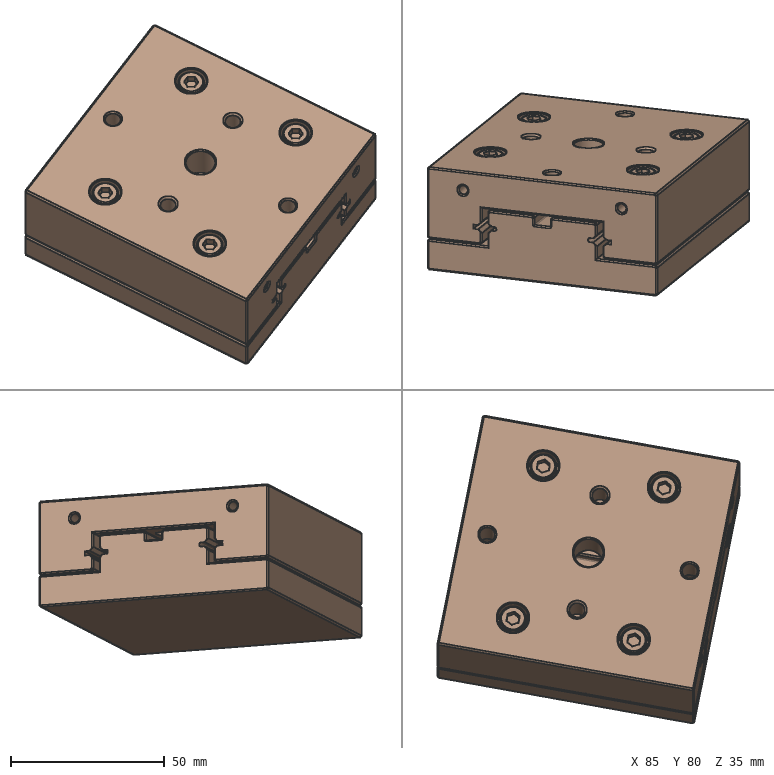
import cadquery as cq
import math

length = 85.0
width = 80.0
height = 35.0
end_chamfer = 0.5
long_chamfer = 0.6

carriage_height = 24.3
channel_width = 42.0
channel_roof_depth = 12.0
carriage_bottom = height - carriage_height
channel_roof = height - channel_roof_depth

running_gap = 0.5
parting_gap = 0.3
rail_width = 38.0
base_top = carriage_bottom - parting_gap
rail_top = channel_roof - running_gap
rail_slot_width = 5.5
rail_slot_depth = 3.1
rail_slot_fillet = 0.3

groove_height = height - 18.45
groove_mouth = 3.9
relief_width = 1.45
carriage_relief_depth = 3.0
rail_relief_depth = 3.1
groove_depth = (groove_mouth - relief_width) / 2

center_bore_diameter = 9.5
center_bore_chamfer = 0.4
plate_hole_diameter = 5.0
gap_hole_y = 20.0
gap_hole_chamfer = 0.7
end_hole_x = 33.5
end_hole_chamfer = 0.5

screw_x = 20.0
screw_y = 26.5
counterbore_diameter = 10.0
counterbore_chamfer = 0.3
counterbore_depth = 5.5
head_diameter = 8.5
head_chamfer = 0.4
head_recess = 0.5
hex_across_flats = 4.0
hex_depth = 2.5

side_hole_diameter = 3.0
side_hole_chamfer = 0.5
side_hole_depth = 8.0
side_hole_y = 27.5
side_hole_z = height - 6.5
drill_point_angle = 118.0


def x_prism(points):
    """Solid of the full length with the given closed YZ outline."""
    return cq.Workplane("YZ").polyline(points).close().extrude(length / 2, both=True)


def mirrored(half_outline):
    """Complete a symmetric YZ outline from its +Y half."""
    return half_outline + [(-y, z) for y, z in reversed(half_outline)]


def break_edges(body, long_edges):
    """Chamfer the chosen lengthwise edges, then the rims of both end faces."""
    return body.edges(long_edges).chamfer(long_chamfer).faces("<X or >X").chamfer(end_chamfer)


def top_hole_cutter(x, y, diameter, depth, chamfer):
    """Cutter for a hole from the top face, with a chamfered rim."""
    radius = diameter / 2
    bore = cq.Workplane("XY", origin=(x, y, height - depth)).circle(radius).extrude(depth)
    rim_base = cq.Vector(x, y, height - chamfer)
    rim = cq.Solid.makeCone(radius, radius + chamfer, chamfer, pnt=rim_base)
    return bore.union(cq.Workplane(rim))


def groove_cutter(wall_y, direction, relief_depth, round_end):
    """Full-length cutter for a roller groove in the wall at wall_y, going in along Y (+1 or -1)."""
    overlap = end_chamfer
    mouth_half = groove_mouth / 2 + overlap
    relief_half = relief_width / 2
    relief_end = relief_depth - relief_half if round_end else relief_depth

    def at(depth, rise):
        return (wall_y + direction * depth, groove_height + rise)

    outline = (
        cq.Workplane("YZ")
        .moveTo(*at(-overlap, mouth_half))
        .lineTo(*at(groove_depth, relief_half))
        .lineTo(*at(relief_end, relief_half))
    )
    if round_end:
        outline = outline.threePointArc(at(relief_depth, 0), at(relief_end, -relief_half))
    else:
        outline = outline.lineTo(*at(relief_end, -relief_half))
    outline = outline.lineTo(*at(groove_depth, -relief_half)).lineTo(*at(-overlap, -mouth_half)).close()
    return outline.extrude(length / 2, both=True)


def side_hole_cutter(end, y):
    """Blind hole with a drill point and chamfered rim, entering the end face on side end (+1 or -1)."""
    radius = side_hole_diameter / 2
    point_length = radius / math.tan(math.radians(drill_point_angle / 2))
    half_section = [
        (0, 0),
        (radius + side_hole_chamfer, 0),
        (radius, side_hole_chamfer),
        (radius, side_hole_depth),
        (0, side_hole_depth + point_length),
    ]
    plane = cq.Plane(origin=(end * length / 2, y, side_hole_z), xDir=(0, 1, 0), normal=(0, 0, end))
    return cq.Workplane(plane).polyline(half_section).close().revolve(360, (0, 0), (0, 1))


def screw_head(x, y):
    """Socket head standing on the counterbore floor."""
    head_height = counterbore_depth - head_recess
    hex_diameter = hex_across_flats / math.cos(math.pi / 6)
    head = (
        cq.Workplane("XY", origin=(x, y, height - counterbore_depth))
        .circle(head_diameter / 2)
        .extrude(head_height)
        .faces(">Z")
        .chamfer(head_chamfer)
    )
    socket = (
        cq.Workplane("XY", origin=(x, y, height - head_recess - hex_depth))
        .transformed(rotate=(0, 0, 90))
        .polygon(6, hex_diameter)
        .extrude(hex_depth)
    )
    return head.cut(socket)


def cut_plate_holes(body):
    """Cut the centre bore and the four small holes from the top face down to the channel roof."""
    depth = channel_roof_depth
    body = body.cut(top_hole_cutter(0, 0, center_bore_diameter, depth, center_bore_chamfer))
    for side in (-1, 1):
        gap_y = side * gap_hole_y
        end_x = side * end_hole_x
        body = body.cut(top_hole_cutter(0, gap_y, plate_hole_diameter, depth, gap_hole_chamfer))
        body = body.cut(top_hole_cutter(end_x, 0, plate_hole_diameter, depth, end_hole_chamfer))
    return body


def add_screw(body, x, y):
    """Sink a counterbore at (x, y) and leave a screw head standing in it."""
    counterbore = top_hole_cutter(
        x, y, counterbore_diameter, counterbore_depth, counterbore_chamfer
    )
    return body.cut(counterbore).union(screw_head(x, y))


def make_carriage():
    """Upper body, with the screw heads as part of it."""
    body = x_prism(mirrored([
        (width / 2, height),
        (width / 2, carriage_bottom),
        (channel_width / 2, carriage_bottom),
        (channel_width / 2, channel_roof),
    ]))
    body = break_edges(body, "|X and (>Z or <Z)")
    for side in (-1, 1):
        wall_y = side * channel_width / 2
        body = body.cut(groove_cutter(wall_y, side, carriage_relief_depth, round_end=False))
    body = cut_plate_holes(body)
    for x_side in (-1, 1):
        for y_side in (-1, 1):
            body = add_screw(body, x_side * screw_x, y_side * screw_y)
            body = body.cut(side_hole_cutter(x_side, y_side * side_hole_y))
    return body


def make_base():
    """Lower body: slab and slotted rail in one piece."""
    slot_floor_z = rail_top - rail_slot_depth
    body = x_prism(mirrored([
        (width / 2, 0),
        (width / 2, base_top),
        (rail_width / 2, base_top),
        (rail_width / 2, rail_top),
        (rail_slot_width / 2, rail_top),
        (rail_slot_width / 2, slot_floor_z),
    ]))
    slot_floor = cq.selectors.BoxSelector(
        (-length, -rail_slot_width, slot_floor_z - rail_slot_fillet),
        (length, rail_slot_width, slot_floor_z + rail_slot_fillet),
    )
    body = body.edges(slot_floor).edges("|X").fillet(rail_slot_fillet)
    body = break_edges(body, "|X and (>Z or <Z or >Y or <Y)")

    for side in (-1, 1):
        wall_y = side * rail_width / 2
        body = body.cut(groove_cutter(wall_y, -side, rail_relief_depth, round_end=True))
    return body


carriage = make_carriage()
base = make_base()

result = cq.Compound.makeCompound([carriage.val(), base.val()])